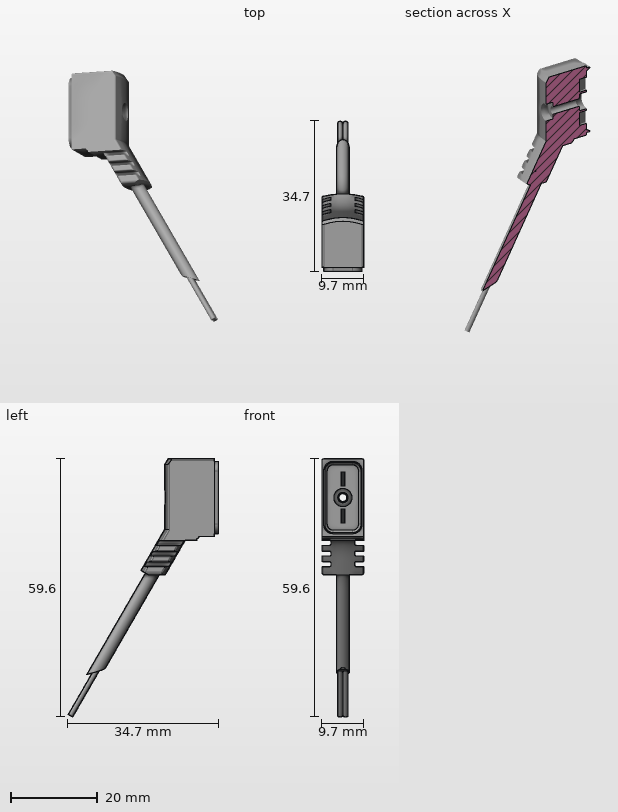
import cadquery as cq
import math


WIDTH = 9.7
BODY_DEPTH = 11.5
BODY_TOP = 8.95
FACE_HEIGHT = 17.95
LIP_DROP = 0.85
LIP_Y = 4.05
LIP_RADIUS = 0.5
CROWN_SAG = 0.85
EDGE_RADIUS = 0.45
BEVEL_DEPTH = 0.85
BEVEL_HEIGHT = 1.3
BODY_BOTTOM = BODY_TOP - FACE_HEIGHT - LIP_DROP

RIM_WIDTH = 8.85
RIM_LENGTH = 16.7
RIM_HEIGHT = 0.95
RIM_CORNER = 2.2
RIM_EDGE = 0.15
RIM_FOOT_WALL = 0.82
RIM_EDGE_WALL = 0.25

HOLE_DIAMETER = 1.8
LEAD_IN_DIAMETER = 2.4
COUNTERBORE_DIAMETER = 4.2
FRONT_COUNTERBORE_DEPTH = 2.0
BACK_COUNTERBORE_DEPTH = 2.0
SLOT_MOUTH = 0.9
SLOT_FLOOR = 0.5
SLOT_LENGTH = 3.2
SLOT_OFFSET = 4.27
SLOT_DEPTH = 2.0

TILT = math.radians(30)
TIP_Y = 33.19
TIP_Z = BODY_TOP - 59.25

RELIEF_HALF_DEPTH = 2.7
RELIEF_SAG = CROWN_SAG * math.cos(TILT)
RELIEF_END_Z = BODY_TOP - 27.1
RELIEF_BOTTOM = BODY_TOP - 26.8
CORE_WIDTH = 5.55
NOTCH_BANDS = [(0.0, 1.15), (2.55, 3.6), (4.95, 6.05)]
NOTCH_RADIUS = 0.25
RIB_RADIUS = 0.25
RELIEF_BOTTOM_RADIUS = 0.65

CABLE_DIAMETER = 3.0
SHEATH_TIP_Z = BODY_TOP - 49.8
SHEATH_CUT = math.radians(17)
SHEATH_CUT_RUN = 3.95
WIRE_DIAMETER = 1.2
WIRE_SPACING = 1.24


def axis_y(z):
    """Y of the cable axis at height z."""
    return TIP_Y + (TIP_Z - z) * math.tan(TILT)


def axis_plane(z):
    """Plane square to the cable axis at height z, its normal pointing up the cable."""
    return cq.Plane(
        origin=(0, axis_y(z), z),
        xDir=(1, 0, 0),
        normal=(0, -math.sin(TILT), math.cos(TILT)),
    )


def axis_length(z_low, z_high):
    """Length along the cable axis between two heights."""
    return (z_high - z_low) / math.cos(TILT)


KNEE_Z = TIP_Z + (TIP_Y - BODY_DEPTH + RELIEF_HALF_DEPTH / math.cos(TILT)) / math.tan(TILT)


def make_body():
    """Block bounded by its plan, front and side outlines."""
    half = WIDTH / 2
    side_depth = BODY_DEPTH - CROWN_SAG
    face_bottom = BODY_TOP - FACE_HEIGHT
    height = BODY_TOP - BODY_BOTTOM

    plan = (
        cq.Workplane("XY", origin=(0, 0, BODY_BOTTOM))
        .moveTo(-half, 0)
        .lineTo(half, 0)
        .lineTo(half, side_depth)
        .threePointArc((0, BODY_DEPTH), (-half, side_depth))
        .close()
        .extrude(height)
    )
    plan = (
        plan.faces(">Z")
        .edges(">Y")
        .chamfer(BEVEL_HEIGHT, BEVEL_DEPTH)
        .edges("|Z")
        .edges(">Y")
        .fillet(EDGE_RADIUS)
    )
    front = (
        cq.Workplane("XZ", origin=(0, 0, (BODY_TOP + BODY_BOTTOM) / 2))
        .rect(WIDTH, height)
        .extrude(-BODY_DEPTH)
        .edges("|Y and >Z")
        .fillet(EDGE_RADIUS)
    )
    side = (
        cq.Workplane("YZ", origin=(-half, 0, 0))
        .moveTo(0, BODY_TOP)
        .lineTo(BODY_DEPTH, BODY_TOP)
        .lineTo(BODY_DEPTH, BODY_BOTTOM)
        .lineTo(LIP_Y, BODY_BOTTOM)
        .lineTo(LIP_Y, face_bottom - LIP_RADIUS)
        .radiusArc((LIP_Y - LIP_RADIUS, face_bottom), LIP_RADIUS)
        .lineTo(0, face_bottom)
        .close()
        .extrude(WIDTH)
    )
    return plan.intersect(front).intersect(side)


def make_rim():
    """Rounded frame whose inner wall flares towards its free edge."""
    outer = (
        cq.Workplane("XZ")
        .rect(RIM_WIDTH, RIM_LENGTH)
        .extrude(RIM_HEIGHT)
        .edges("|Y")
        .fillet(RIM_CORNER)
        .faces("<Y")
        .edges()
        .fillet(RIM_EDGE)
    )
    flare = math.degrees(math.atan((RIM_FOOT_WALL - RIM_EDGE_WALL) / RIM_HEIGHT))
    opening = (
        cq.Sketch()
        .rect(RIM_WIDTH - 2 * RIM_FOOT_WALL, RIM_LENGTH - 2 * RIM_FOOT_WALL)
        .vertices()
        .fillet(RIM_CORNER - RIM_FOOT_WALL)
    )
    cavity = cq.Workplane("XZ").placeSketch(opening).extrude(RIM_HEIGHT, taper=-flare)
    return outer.cut(cavity)


def make_comb():
    """Ribbed outline of the strain relief, running straight through along Y."""
    length = axis_y(RELIEF_END_Z) + 2 * RELIEF_HALF_DEPTH
    notch_depth = (WIDTH - CORE_WIDTH) / 2
    comb = (
        cq.Workplane("XZ", origin=(0, 0, (BODY_BOTTOM + RELIEF_BOTTOM) / 2))
        .rect(WIDTH, BODY_BOTTOM - RELIEF_BOTTOM)
        .extrude(-length)
    )
    for start, end in NOTCH_BANDS:
        for side in (-1, 1):
            notch = (
                cq.Workplane("XZ", origin=(side * WIDTH / 2, 0, BODY_BOTTOM - (start + end) / 2))
                .rect(2 * notch_depth, end - start)
                .extrude(-length)
                .edges("|Y")
                .fillet(NOTCH_RADIUS)
            )
            comb = comb.cut(notch)
    comb = comb.edges("|Y").edges("<Z").fillet(RELIEF_BOTTOM_RADIUS)
    upper_rib_edges = [
        edge
        for edge in comb.edges("|Y").edges("<X or >X").vals()
        if edge.Center().z > RELIEF_BOTTOM + RELIEF_BOTTOM_RADIUS + RIB_RADIUS
    ]
    comb = comb.newObject(upper_rib_edges).fillet(RIB_RADIUS)
    collar = (
        cq.Workplane("XZ", origin=(0, 0, (BODY_BOTTOM + KNEE_Z) / 2))
        .rect(WIDTH, KNEE_Z - BODY_BOTTOM)
        .extrude(-length)
    )
    return comb.union(collar)


def make_relief():
    """Tilted sleeve, crowned front and back, trimmed to the ribbed outline."""
    half = WIDTH / 2
    side_depth = RELIEF_HALF_DEPTH - RELIEF_SAG
    sleeve_top = KNEE_Z + RELIEF_HALF_DEPTH
    sleeve = (
        cq.Workplane(axis_plane(RELIEF_END_Z))
        .moveTo(half, -side_depth)
        .lineTo(half, side_depth)
        .threePointArc((0, RELIEF_HALF_DEPTH), (-half, side_depth))
        .lineTo(-half, -side_depth)
        .threePointArc((0, -RELIEF_HALF_DEPTH), (half, -side_depth))
        .close()
        .extrude(axis_length(RELIEF_END_Z, sleeve_top))
        .edges(cq.ParallelDirSelector(axis_plane(RELIEF_END_Z).zDir))
        .fillet(EDGE_RADIUS)
    )
    return sleeve.intersect(make_comb())


def make_cable():
    """Sheath with a slanted end cut and a bevel at the front."""
    sheath_low = SHEATH_TIP_Z - CABLE_DIAMETER
    sheath = (
        cq.Workplane(axis_plane(sheath_low))
        .circle(CABLE_DIAMETER / 2)
        .extrude(axis_length(sheath_low, RELIEF_BOTTOM + RELIEF_HALF_DEPTH))
    )
    tip_y = axis_y(SHEATH_TIP_Z) + CABLE_DIAMETER / 2 / math.cos(TILT)
    reach = 2 * CABLE_DIAMETER
    cut_drop = reach * math.tan(SHEATH_CUT)
    bevel_y = tip_y - SHEATH_CUT_RUN
    bevel_z = SHEATH_TIP_Z + SHEATH_CUT_RUN * math.tan(SHEATH_CUT)
    beyond = (
        cq.Workplane("YZ", origin=(-CABLE_DIAMETER, 0, 0))
        .moveTo(tip_y + reach, SHEATH_TIP_Z - cut_drop)
        .lineTo(bevel_y, bevel_z)
        .lineTo(bevel_y - CABLE_DIAMETER, bevel_z + CABLE_DIAMETER)
        .lineTo(bevel_y - CABLE_DIAMETER, SHEATH_TIP_Z - reach)
        .lineTo(tip_y + reach, SHEATH_TIP_Z - reach)
        .close()
        .extrude(2 * CABLE_DIAMETER)
    )
    return sheath.cut(beyond)


def make_wires():
    """Two bare wires side by side, ending square to the cable axis."""
    return (
        cq.Workplane(axis_plane(TIP_Z))
        .pushPoints([(-WIRE_SPACING / 2, 0), (WIRE_SPACING / 2, 0)])
        .circle(WIRE_DIAMETER / 2)
        .extrude(axis_length(TIP_Z, RELIEF_BOTTOM))
    )


def cut_screw_hole(part):
    """Through hole, counterbored from both sides and flared where the front counterbore ends."""
    hole_radius = HOLE_DIAMETER / 2
    lead_in_radius = LEAD_IN_DIAMETER / 2
    bore_radius = COUNTERBORE_DIAMETER / 2
    lead_in_end = FRONT_COUNTERBORE_DEPTH + lead_in_radius - hole_radius
    back_floor = BODY_DEPTH - BACK_COUNTERBORE_DEPTH
    bore = (
        cq.Workplane("XY")
        .lineTo(bore_radius, 0)
        .lineTo(bore_radius, FRONT_COUNTERBORE_DEPTH)
        .lineTo(lead_in_radius, FRONT_COUNTERBORE_DEPTH)
        .lineTo(hole_radius, lead_in_end)
        .lineTo(hole_radius, back_floor)
        .lineTo(bore_radius, back_floor)
        .lineTo(bore_radius, BODY_DEPTH)
        .lineTo(0, BODY_DEPTH)
        .close()
        .revolve(360, (0, 0, 0), (0, 1, 0))
    )
    return part.cut(bore)


def cut_contact_slots(part):
    """Two narrow slots above and below the hole, tapering in width."""
    for center_z in (-SLOT_OFFSET, SLOT_OFFSET):
        slot = (
            cq.Workplane("XY", origin=(0, 0, center_z))
            .moveTo(-SLOT_MOUTH / 2, 0)
            .lineTo(SLOT_MOUTH / 2, 0)
            .lineTo(SLOT_FLOOR / 2, SLOT_DEPTH)
            .lineTo(-SLOT_FLOOR / 2, SLOT_DEPTH)
            .close()
            .extrude(SLOT_LENGTH / 2, both=True)
        )
        part = part.cut(slot)
    return part


body = make_body().union(make_relief())
body = cut_contact_slots(cut_screw_hole(body)).union(make_rim())
result = body.union(make_cable()).union(make_wires())